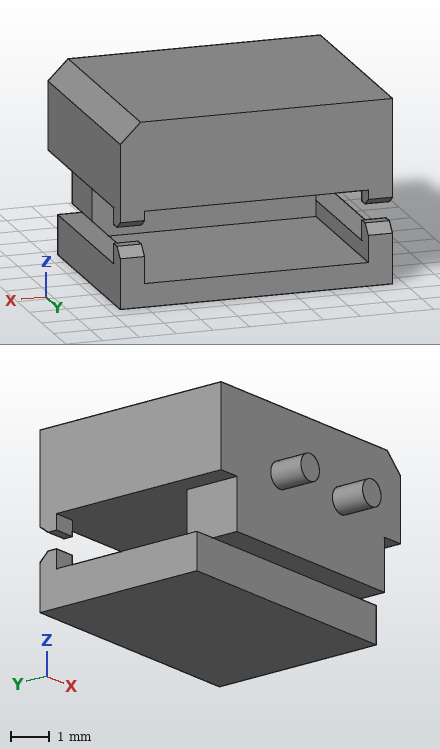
import cadquery as cq

width = 7.4
depth = 6.0
height = 5.0

base_thickness = 1.08
base_setback = 0.8

recess_depth = 0.44

upper_bottom = 2.59
top_chamfer = 0.55

web_inset = 0.66
web_depth = 1.66

lip_depth = 0.55
lip_length = web_inset
lower_lip_top = 1.63
upper_lip_bottom = 2.14
lip_bevel_depth = 0.27
lower_bevel_height = 0.26
upper_bevel_height = 0.2

pin_diameter = 0.76
pin_length = 1.0
pin_height = 3.1
pin_pitch = 2.54


def box(x_range, y_range, z_range):
    """Axis-aligned block between the given limits."""
    (x0, x1), (y0, y1), (z0, z1) = x_range, y_range, z_range
    return cq.Workplane("XY").box(x1 - x0, y1 - y0, z1 - z0, centered=False).translate((x0, y0, z0))


def base_plate():
    plate = box((0, width), (base_setback, depth), (0, base_thickness))
    recess = box(
        (web_inset, width - web_inset),
        (web_depth, depth),
        (base_thickness - recess_depth, base_thickness),
    )
    return plate.cut(recess)


def upper_block():
    block = box((0, width), (0, depth), (upper_bottom, height))
    return block.edges(">X and >Z").chamfer(top_chamfer)


def web():
    return box((web_inset, width - web_inset), (0, web_depth), (base_thickness, upper_bottom))


def lip(root, tip, bevel_height, x_start):
    """Rear lip from height root to height tip, bevelled on its outer tip edge."""
    bevel_start = tip - bevel_height if tip > root else tip + bevel_height
    inner = depth - lip_depth
    profile = [
        (inner, root),
        (inner, tip),
        (depth - lip_bevel_depth, tip),
        (depth, bevel_start),
        (depth, root),
    ]
    return cq.Workplane("YZ").polyline(profile).close().extrude(lip_length).translate((x_start, 0, 0))


def pin(x):
    """Round pin centred at x, pointing forward from the front face."""
    return cq.Workplane("XZ").center(x, pin_height).circle(pin_diameter / 2).extrude(pin_length)


result = base_plate().union(upper_block()).union(web())
for x_start in (0, width - lip_length):
    result = result.union(lip(base_thickness, lower_lip_top, lower_bevel_height, x_start))
    result = result.union(lip(upper_bottom, upper_lip_bottom, upper_bevel_height, x_start))
for side in (-1, 1):
    result = result.union(pin((width + side * pin_pitch) / 2))